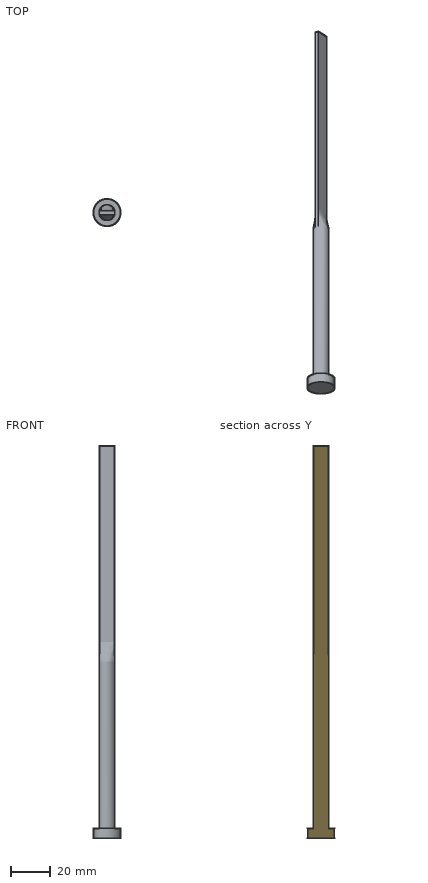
import cadquery as cq
import math

total_length = 200.0

head_diameter = 14.0
head_height = 5.0

shank_diameter = 8.0
shank_radius = shank_diameter / 2
shank_end_z = 90.0

blade_start_z = total_length / 2
blade_thickness = 2.0
half_thickness = blade_thickness / 2
half_width = math.sqrt(shank_radius**2 - half_thickness**2)


def make_round_body():
    """Head with the round shank running up to the start of the transition."""
    head = cq.Workplane("XY").circle(head_diameter / 2).extrude(head_height)
    shank = cq.Workplane("XY").circle(shank_radius).extrude(shank_end_z)
    return head.union(shank)


def make_transition():
    """Ruled blend from the shank circle, split at the blade corners, to the blade rectangle."""
    height = blade_start_z - shank_end_z
    return (
        cq.Workplane("XY", origin=(0, 0, shank_end_z))
        .moveTo(-half_width, -half_thickness)
        .threePointArc((0, -shank_radius), (half_width, -half_thickness))
        .threePointArc((shank_radius, 0), (half_width, half_thickness))
        .threePointArc((0, shank_radius), (-half_width, half_thickness))
        .threePointArc((-shank_radius, 0), (-half_width, -half_thickness))
        .close()
        .workplane(offset=height, origin=(0, 0, shank_end_z))
        .moveTo(-half_width, -half_thickness)
        .lineTo(half_width, -half_thickness)
        .lineTo(half_width, half_thickness)
        .lineTo(-half_width, half_thickness)
        .close()
        .loft(ruled=True)
    )


def make_blade():
    """Thin rectangular blade above the transition."""
    return (
        cq.Workplane("XY", origin=(0, 0, blade_start_z))
        .rect(2 * half_width, blade_thickness)
        .extrude(total_length - blade_start_z)
    )


result = make_round_body().union(make_transition()).union(make_blade())